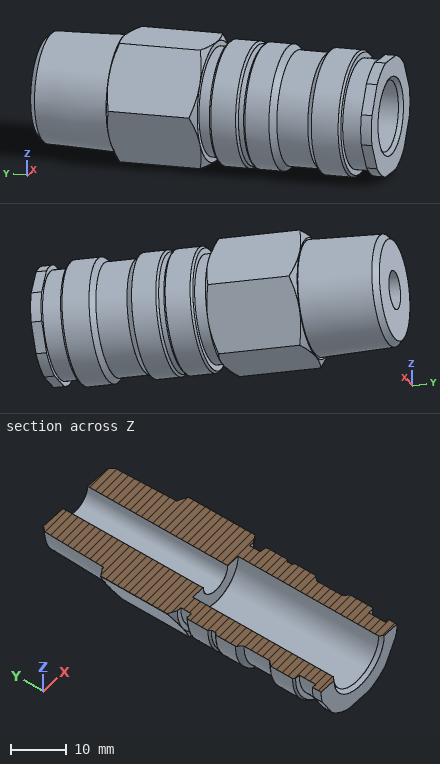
import cadquery as cq
import math

length = 65.0

collar_across_flats = 21.2
collar_radius = 11.0
collar_end = 2.0

sleeve_radius = 11.5
front_neck_radius = 10.1
rear_neck_radius = 10.0
grip_groove_radius = 10.5
ring_groove_radius = 11.05
front_band_start = 5.7
grip_groove_start = 12.15
grip_groove_end = 18.0
ring_groove_start = 24.1
ring_groove_end = 25.1
sleeve_end = 30.55
edge_chamfer = 0.4
grip_front_chamfer = 1.0
grip_rear_chamfer = 1.2

hex_across_corners = 25.4
hex_across_flats = hex_across_corners * math.cos(math.pi / 6)
hex_start = 32.9
hex_end = 50.1
hex_chamfer_angle = math.radians(30)

thread_base_radius = 10.65
thread_taper = 1 / 32
thread_end_radius = 9.2
thread_chamfer_length = 1.1

socket_radius = 6.5
socket_mouth_radius = 7.2
socket_chamfer_length = 0.7
socket_depth = hex_start
passage_radius = 3.5


def revolve_about_y(points):
    """Turn a closed (radius, y) outline around the Y axis."""
    return cq.Workplane("XY").polyline(points).close().revolve(360, (0, 0, 0), (0, 1, 0))


def cylinder(radius, start, end):
    return cq.Workplane("XZ", origin=(0, start, 0)).circle(radius).extrude(start - end)


def hexagon(across_corners, start, end):
    return cq.Workplane("XZ", origin=(0, start, 0)).polygon(6, across_corners).extrude(start - end)


def make_collar():
    across_corners = collar_across_flats / math.cos(math.pi / 6)
    return hexagon(across_corners, 0, collar_end).intersect(cylinder(collar_radius, 0, collar_end))


def make_sleeve():
    chamfered_radius = sleeve_radius - edge_chamfer
    return revolve_about_y([
        (0, collar_end),
        (front_neck_radius, collar_end),
        (front_neck_radius, front_band_start),
        (chamfered_radius, front_band_start),
        (sleeve_radius, front_band_start + edge_chamfer),
        (sleeve_radius, grip_groove_start - grip_front_chamfer),
        (grip_groove_radius, grip_groove_start),
        (grip_groove_radius, grip_groove_end),
        (sleeve_radius, grip_groove_end + grip_rear_chamfer),
        (sleeve_radius, ring_groove_start - edge_chamfer),
        (ring_groove_radius, ring_groove_start),
        (ring_groove_radius, ring_groove_end),
        (sleeve_radius, ring_groove_end + edge_chamfer),
        (sleeve_radius, sleeve_end - edge_chamfer),
        (chamfered_radius, sleeve_end),
        (rear_neck_radius, sleeve_end),
        (rear_neck_radius, hex_start),
        (0, hex_start),
    ])


def make_wrench_hex():
    """Hexagon with its corners turned back by a cone at each end."""
    face_radius = hex_across_flats / 2
    corner_radius = hex_across_corners / 2
    chamfer_length = (corner_radius - face_radius) * math.tan(hex_chamfer_angle)
    envelope = revolve_about_y([
        (0, hex_start),
        (face_radius, hex_start),
        (corner_radius, hex_start + chamfer_length),
        (corner_radius, hex_end - chamfer_length),
        (face_radius, hex_end),
        (0, hex_end),
    ])
    return hexagon(hex_across_corners, hex_start, hex_end).intersect(envelope)


def make_thread():
    chamfer_start = length - thread_chamfer_length
    tip_radius = thread_base_radius - thread_taper * (chamfer_start - hex_end)
    return revolve_about_y([
        (0, hex_end),
        (thread_base_radius, hex_end),
        (tip_radius, chamfer_start),
        (thread_end_radius, length),
        (0, length),
    ])


def make_bore():
    return revolve_about_y([
        (0, 0),
        (socket_mouth_radius, 0),
        (socket_radius, socket_chamfer_length),
        (socket_radius, socket_depth),
        (passage_radius, socket_depth),
        (passage_radius, length),
        (0, length),
    ])


body = make_collar().union(make_sleeve()).union(make_wrench_hex()).union(make_thread())
result = body.cut(make_bore())